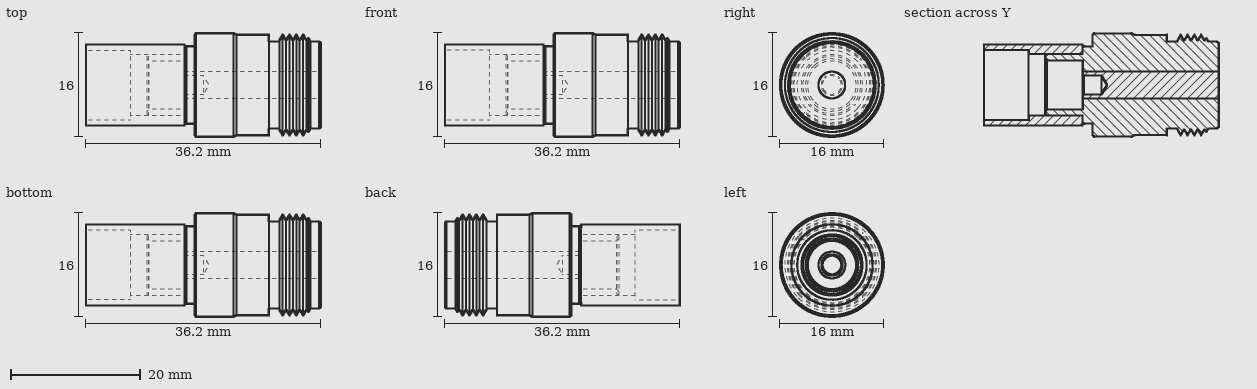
import cadquery as cq

total_length = 36.2
ferrule_end = 15.2
neck_chamfer_end = 15.53
collar_start = 16.72
collar_end = 22.75
barrel_start = 23.15
barrel_end = 28.2

ferrule_radius = 6.25
ferrule_bore_radius = 5.35
ferrule_step = 6.88

neck_radius = 6.0
neck_chamfer = 0.18
collar_radius = 8.0
collar_chamfer = 0.25
barrel_radius = 7.8

nipple_start = 9.4
nipple_radius = 4.7
nipple_chamfer = 0.25
nipple_bore_radius = 3.73
nipple_countersink = 0.33

spigot_radius = 6.75
spigot_chamfer = 0.25
thread_start = 29.8
thread_pitch = 1.05
thread_count = 4
thread_valley_radius = 6.88
thread_crest_radius = 7.8
crest_offset = thread_pitch / 2
runout_crest = 34.28
runout_end = 34.57
runout_radius = 7.25

contact_start = ferrule_end
contact_radius = 2.05
cup_radius = 1.45
cup_countersink = 0.18
cup_depth = 2.9
cup_tip_length = 0.87


def revolve_about_x(profile):
    """Revolve a closed (x, radius) profile about the X axis."""
    return cq.Workplane("XY").polyline(profile).close().revolve(360, (0, 0, 0), (1, 0, 0))


def make_ferrule():
    """Stepped tube: wide bore at the open end, narrow bore fitting the nipple."""
    return revolve_about_x([
        (0, ferrule_bore_radius),
        (0, ferrule_radius),
        (ferrule_end, ferrule_radius),
        (ferrule_end, nipple_radius),
        (ferrule_step, nipple_radius),
        (ferrule_step, ferrule_bore_radius),
    ])


def thread_profile():
    """Points of the full ridges followed by the low run-out ridge."""
    points = [(thread_start, spigot_radius)]
    for i in range(thread_count):
        ridge_start = thread_start + i * thread_pitch
        points.append((ridge_start, thread_valley_radius))
        points.append((ridge_start + crest_offset, thread_crest_radius))
    thread_end = thread_start + thread_count * thread_pitch
    points.append((thread_end, thread_valley_radius))
    points.append((runout_crest, runout_radius))
    points.append((runout_end, spigot_radius))
    return points


def make_body():
    """Nipple, neck, collar, barrel and threaded end, bored for the contact."""
    nipple = [
        (nipple_start, nipple_bore_radius + nipple_countersink),
        (nipple_start, nipple_radius - nipple_chamfer),
        (nipple_start + nipple_chamfer, nipple_radius),
        (ferrule_end, nipple_radius),
    ]
    neck = [
        (ferrule_end, neck_radius - neck_chamfer),
        (neck_chamfer_end, neck_radius),
        (collar_start, neck_radius),
    ]
    collar = [
        (collar_start, collar_radius - collar_chamfer),
        (collar_start + collar_chamfer, collar_radius),
        (collar_end, collar_radius),
    ]
    barrel = [
        (barrel_start, barrel_radius),
        (barrel_end, barrel_radius),
        (barrel_end, spigot_radius),
    ]
    spigot_end = [
        (total_length - spigot_chamfer, spigot_radius),
        (total_length, spigot_radius - spigot_chamfer),
    ]
    bore = [
        (total_length, contact_radius),
        (contact_start, contact_radius),
        (contact_start, nipple_bore_radius),
        (nipple_start + nipple_countersink, nipple_bore_radius),
    ]
    return revolve_about_x(nipple + neck + collar + barrel + thread_profile() + spigot_end + bore)


def make_contact():
    """Round pin filling the body bore, with a drilled, countersunk solder cup."""
    cup_floor = contact_start + cup_depth
    return revolve_about_x([
        (contact_start, cup_radius + cup_countersink),
        (contact_start, contact_radius),
        (total_length, contact_radius),
        (total_length, 0),
        (cup_floor + cup_tip_length, 0),
        (cup_floor, cup_radius),
        (contact_start + cup_countersink, cup_radius),
    ])


ferrule = make_ferrule()
body = make_body()
contact = make_contact()

result = cq.Compound.makeCompound([ferrule.val(), body.val(), contact.val()])